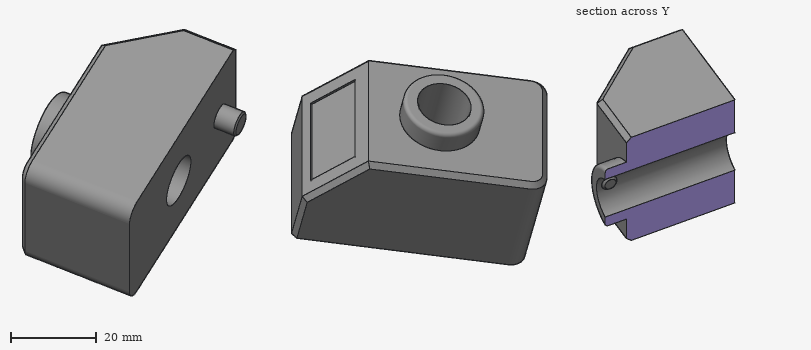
import cadquery as cq
import math

body_length = 55.35
body_depth = 28.5
body_height = 33.55
mid_height = body_height / 2
corner_radius = 4.0
edge_chamfer = 1.3

slope_depth = 15.1
slope_length = 12.8

window_length = 13.3
window_height = 23.8
window_recess = 0.5
window_offset = 0.8

hub_diameter = 19.05
hub_projection = 5.6
hub_round = 0.95
bore_diameter = 12.7
hub_y = 25.65

screw_diameter = 4.0
tip_diameter = 2.9
tip_projection = 0.65
tip_setback = 3.3
screw_embed = 1.65

pin_diameter = 6.1
pin_projection = 5.55
pin_chamfer = 0.4
pin_y = body_length - 8.35


def make_body():
    """Block with a sloped face, rounded -Y edges and chamfers around all faces but +X."""
    outline = [
        (0, 0),
        (body_depth, 0),
        (body_depth, body_length),
        (slope_depth, body_length),
        (0, body_length - slope_length),
    ]
    block = cq.Workplane("XY").polyline(outline).close().extrude(body_height)
    block = block.faces("<Y").edges("|X").fillet(corner_radius)

    border = block.faces("<X").edges("not(|Z and >Y)").vals()
    slope_faces = block.faces(cq.selectors.DirectionMinMaxSelector(
        cq.Vector(-slope_length, slope_depth, 0), True))
    border += slope_faces.edges("not |Z").vals()
    border += block.faces(">Y").edges("|X").vals()
    return block.newObject(border).chamfer(edge_chamfer)


def make_window():
    """Cutter for the display window, square to the sloped face."""
    slope_size = math.hypot(slope_depth, slope_length)
    along = cq.Vector(slope_depth / slope_size, slope_length / slope_size, 0)
    outward = cq.Vector(-along.y, along.x, 0)
    slope_centre = cq.Vector(slope_depth / 2, body_length - slope_length / 2, mid_height)
    centre = slope_centre + along * window_offset
    plane = cq.Plane(origin=centre, xDir=along, normal=outward)
    return cq.Workplane(plane).rect(window_length, window_height).extrude(-window_recess)


def rod(start_x, y, diameter, length):
    """Cylinder along +X, centred on the mid height."""
    plane = cq.Plane(origin=(start_x, y, mid_height), xDir=(0, 1, 0), normal=(1, 0, 0))
    return cq.Workplane(plane).circle(diameter / 2).extrude(length)


def make_set_screw():
    """Screw end pointing along -Y into the bore, with a 45 degree tip."""
    tip_y = hub_y + bore_diameter / 2 - tip_projection
    plane = cq.Plane(
        origin=(tip_setback - hub_projection, tip_y, mid_height),
        xDir=(1, 0, 0),
        normal=(0, 1, 0),
    )
    screw = cq.Workplane(plane).circle(screw_diameter / 2).extrude(tip_projection + screw_embed)
    return screw.faces("<Y").chamfer((screw_diameter - tip_diameter) / 2)


hub = rod(-hub_projection, hub_y, hub_diameter, hub_projection)
hub = hub.faces("<X").edges().fillet(hub_round)
pin = rod(body_depth, pin_y, pin_diameter, pin_projection)
pin = pin.faces(">X").chamfer(pin_chamfer)
bore = rod(-hub_projection, hub_y, bore_diameter, hub_projection + body_depth)

result = make_body().cut(make_window()).union(hub).union(pin).cut(bore).union(make_set_screw())